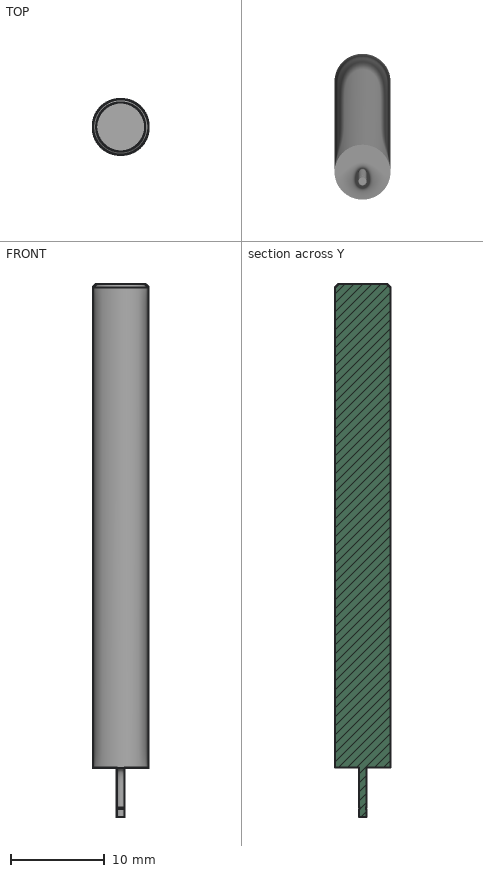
import cadquery as cq

total_length = 57.0
body_diameter = 6.0
body_chamfer = 0.37

pin_length = 5.25
pin_diameter = 0.85
groove_bottom = 0.85
groove_width = 0.15
groove_depth = 0.05


def make_body():
    """Cylinder above the pin, chamfered around its top edge."""
    return (
        cq.Workplane("XY")
        .workplane(offset=pin_length)
        .circle(body_diameter / 2)
        .extrude(total_length - pin_length)
        .faces(">Z")
        .chamfer(body_chamfer)
    )


def make_pin():
    """Round pin with the ring groove cut from its side."""
    pin_radius = pin_diameter / 2
    pin = cq.Workplane("XY").circle(pin_radius).extrude(pin_length)
    groove = (
        cq.Workplane("XY")
        .workplane(offset=groove_bottom)
        .circle(pin_radius)
        .circle(pin_radius - groove_depth)
        .extrude(groove_width)
    )
    return pin.cut(groove)


result = make_body().union(make_pin())